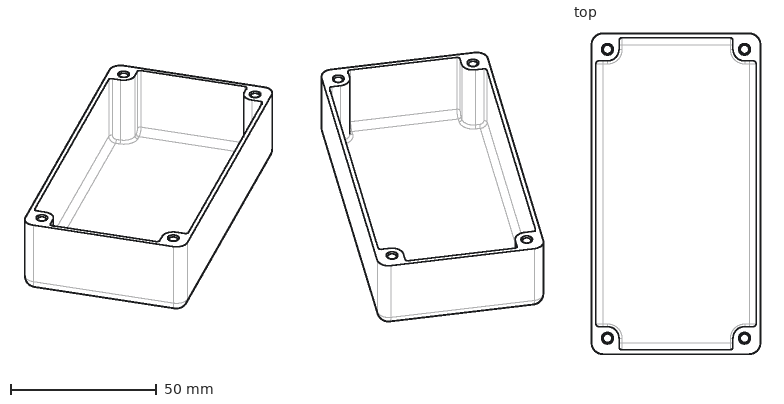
import cadquery as cq

width = 58.0
length = 110.0
height = 26.5

outer_radius = 4.0
wall = 1.5
floor_thickness = wall
floor_fillet = outer_radius - wall

post_inset = 5.5
post_radius = 4.0
post_fillet = 1.0
hole_diameter = 3.0
countersink_diameter = 4.0
hole_depth = 20.0

cavity_x = width / 2 - wall
cavity_y = length / 2 - wall
screw_x = width / 2 - post_inset
screw_y = length / 2 - post_inset

tolerance = 0.01


def outer_body():
    """Solid block with rounded upright corners and a rounded bottom edge."""
    block = cq.Workplane("XY").box(width, length, height, centered=(True, True, False))
    return block.edges("|Z or <Z").fillet(outer_radius)


def corner_post(side_x, side_y):
    """Square post filling one cavity corner, rounded towards the middle of the box."""
    inner_x = screw_x - post_radius
    inner_y = screw_y - post_radius
    size_x = width / 2 - inner_x
    size_y = length / 2 - inner_y
    post = (
        cq.Workplane("XY")
        .box(size_x, size_y, height)
        .translate((side_x * (inner_x + size_x / 2), side_y * (inner_y + size_y / 2), height / 2))
    )
    inner_edge = "{}X and {}Y and |Z".format("<" if side_x > 0 else ">", "<" if side_y > 0 else ">")
    return post.edges(inner_edge).fillet(post_radius)


def is_post_joint(edge):
    """True for an edge where a corner post meets a wall or the floor."""
    center = edge.Center()
    center_x = abs(center.x)
    center_y = abs(center.y)
    at_post = (
        center_x > screw_x - post_radius - tolerance
        and center_y > screw_y - post_radius - tolerance
    )
    at_rim = center.z > height - tolerance
    on_wall = center_x > cavity_x - tolerance or center_y > cavity_y - tolerance
    upright = edge.BoundingBox().zlen > height / 2
    return at_post and not at_rim and (on_wall or not upright)


def cavity():
    """Space inside the walls, rounded at the floor and around the corner posts."""
    space = (
        cq.Workplane("XY", origin=(0, 0, floor_thickness))
        .box(2 * cavity_x, 2 * cavity_y, height - floor_thickness, centered=(True, True, False))
    )
    space = space.edges("<Z").fillet(floor_fillet)
    for side_x in (-1, 1):
        for side_y in (-1, 1):
            space = space.cut(corner_post(side_x, side_y))

    joints = [edge for edge in space.edges().vals() if is_post_joint(edge)]
    return space.newObject(joints).fillet(post_fillet)


def screw_holes():
    """Blind screw holes with a 45 degree countersink, one in each post."""
    countersink_depth = (countersink_diameter - hole_diameter) / 2
    centers = (
        cq.Workplane("XY", origin=(0, 0, height))
        .rect(2 * screw_x, 2 * screw_y, forConstruction=True)
        .vertices()
    )
    holes = centers.circle(hole_diameter / 2).extrude(-hole_depth)
    cones = centers.circle(countersink_diameter / 2).extrude(-countersink_depth, taper=45)
    return holes.union(cones)


result = outer_body().cut(cavity()).cut(screw_holes())